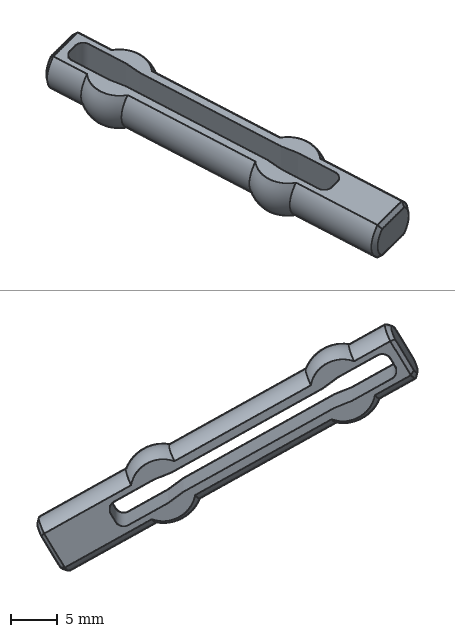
import cadquery as cq

length = 43.75
rod_diameter = 6.65
thickness = 5.0
end_chamfer = 0.5

bulge_diameter = 8.55
bulge_spacing = 22.22

slot_start = 1.45
slot_length = 34.55
slot_end_width = 3.0
slot_waist_width = 2.5
slot_corner_radius = 1.0
taper_length = 2.0
waist_length = 18.7

slot_center = slot_start + slot_length / 2


def make_rod():
    """Full round rod along X, cut to the flat-to-flat thickness and chamfered at both ends."""
    rod = cq.Workplane("YZ").circle(rod_diameter / 2).extrude(length)
    flats = cq.Workplane("XY").box(length, rod_diameter, thickness, centered=(False, True, True))
    return rod.intersect(flats).faces("<X or >X").chamfer(end_chamfer)


def make_bulge(x):
    """Sphere on the rod axis, cut flush with the flats."""
    sphere = cq.Workplane("XY").sphere(bulge_diameter / 2)
    flats = cq.Workplane("XY").box(bulge_diameter, bulge_diameter, thickness)
    return sphere.intersect(flats).translate((x, 0, 0))


def make_slot():
    """Wide rounded-corner ends joined to a narrower waist by short straight tapers."""
    half_length = slot_length / 2
    half_waist = waist_length / 2
    taper_end = half_waist + taper_length
    end_y = slot_end_width / 2
    waist_y = slot_waist_width / 2
    upper_edge = [
        (-half_length, end_y),
        (-taper_end, end_y),
        (-half_waist, waist_y),
        (half_waist, waist_y),
        (taper_end, end_y),
        (half_length, end_y),
    ]
    lower_edge = [(x, -y) for x, y in reversed(upper_edge)]
    slot = (
        cq.Workplane("XY")
        .polyline(upper_edge + lower_edge)
        .close()
        .extrude(thickness / 2, both=True)
    )
    slot = slot.faces("<X or >X").edges("|Z").fillet(slot_corner_radius)
    return slot.translate((slot_center, 0, 0))


result = make_rod()
for side in (-1, 1):
    result = result.union(make_bulge(slot_center + side * bulge_spacing / 2))
result = result.cut(make_slot())